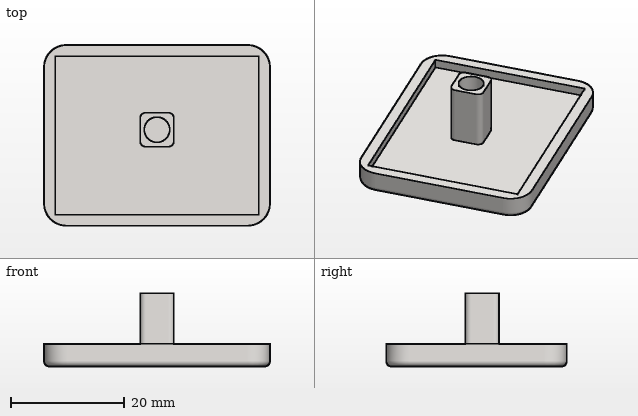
import cadquery as cq

tray_length = 40.0
tray_width = 32.0
tray_height = 4.0
tray_corner_radius = 4.0
bottom_edge_radius = 1.0

rim_width = 2.0
recess_depth = 1.6
floor_height = tray_height - recess_depth

total_height = 13.0
post_side = 6.0
post_corner_radius = 1.0
post_offset_y = 1.0
bore_diameter = 4.5
post_height = total_height - floor_height
bore_depth = post_height


def make_tray():
    """Rounded plate with a softened underside and a rectangular recess."""
    plate = (
        cq.Workplane("XY")
        .rect(tray_length, tray_width)
        .extrude(tray_height)
        .edges("|Z")
        .fillet(tray_corner_radius)
        .faces("<Z")
        .edges()
        .fillet(bottom_edge_radius)
    )
    recess = (
        cq.Workplane("XY")
        .workplane(offset=floor_height)
        .rect(tray_length - 2 * rim_width, tray_width - 2 * rim_width)
        .extrude(recess_depth)
    )
    return plate.cut(recess)


def make_post():
    """Square post with rounded vertical corners, rising from the floor."""
    return (
        cq.Workplane("XY")
        .workplane(offset=floor_height)
        .center(0, post_offset_y)
        .rect(post_side, post_side)
        .extrude(post_height)
        .edges("|Z")
        .fillet(post_corner_radius)
    )


def make_bore():
    """Blind round bore running down the post to the recess floor."""
    return (
        cq.Workplane("XY")
        .workplane(offset=total_height)
        .center(0, post_offset_y)
        .circle(bore_diameter / 2)
        .extrude(-bore_depth)
    )


result = make_tray().union(make_post()).cut(make_bore())